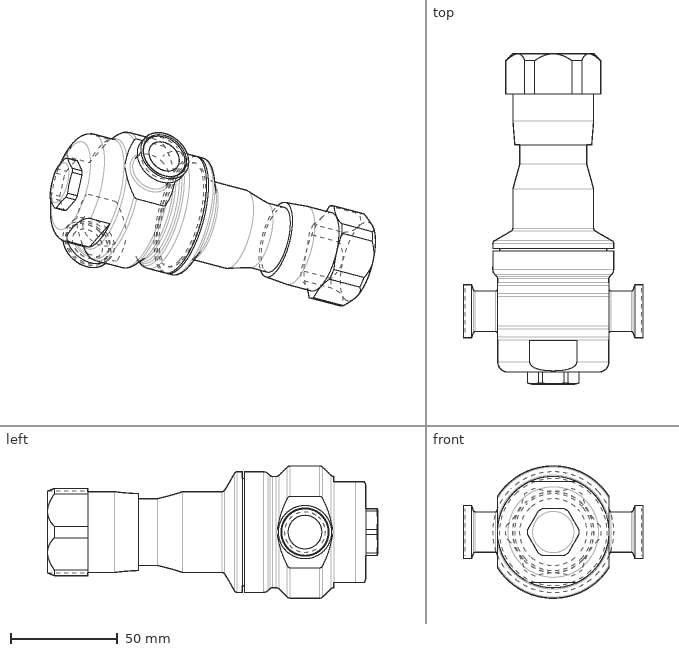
import cadquery as cq
import math


NUT_END = 120.9
NUT_BASE = 101.9
TAPER_START = 89.3
NECK_TOP = 78.1
NECK_BASE = 69.1
BARREL_TOP = 57.4
BONNET_TOP = 38.1
GROOVE_TOP = 29.4
GROOVE_WIDTH = 1.0
FLANGE_BASE = 18.2
BODY_HALF_LENGTH = 7.75
CAP_TOP = -13.6
CAP_END = -28.6
PLUG_END = -34.35

BARREL_R = 19.0
TAPER_R = 18.1
NECK_R = 15.75
FLANGE_R = 28.4
GROOVE_R = 25.2
WAIST_R = 26.15
BODY_R = 31.115
BONNET_ANGLE = 60.0

BONNET_FILLET = 1.5
FLANGE_FILLET = 3.2
FLANGE_WAIST_FILLET = 1.6
BODY_FILLET = 2.0
CAP_FILLET = 4.9

BODY_FLAT_X = 26.2
CAP_FLAT_Z = 23.7

HEX_SIDES = 6

NUT_CORNER_R = 22.35
NUT_END_R = 19.1
NUT_HOLLOW_R = 29.0
NUT_HOLLOW_FLOOR_R = 19.2

PLUG_ACROSS_FLATS = 22.0
PLUG_CORNER_R = 12.1
PLUG_END_R = 9.7
PLUG_CHAMFER_LENGTH = 0.65

PORT_END = 42.2
PORT_TUBE_R = 9.525
FERRULE_R = 12.5
FERRULE_RIM = 3.9
FERRULE_BEVEL_ANGLE = 20.0
FERRULE_FILLET = 0.8
PORT_ROOT_FILLET = 1.0
PORT_ROOT_X = 24.0
RECESS_R = 11.3
RECESS_FLOOR_R = 10.9
RECESS_DEPTH = 0.7
BORE_R = 7.9
BORE_DEPTH = 0.1

SELECT_MARGIN = 0.1


def revolve_about_y(points):
    profile = cq.Workplane("XY").polyline(points).close()
    return profile.revolve(360, (0, 0, 0), (0, 1, 0))


def fillet_ring(solid, y, radius, fillet):
    """Round the circular edge of the given radius, centred on the axis at y."""
    tolerance = 1e-3

    def is_ring(edge):
        if edge.geomType() != "CIRCLE":
            return False
        centre = edge.arcCenter()
        return abs(centre.y - y) < tolerance and abs(edge.radius() - radius) < tolerance

    rings = [edge for edge in solid.edges().vals() if is_ring(edge)]
    return solid.newObject(rings).fillet(fillet)


def make_turned_body():
    bonnet_drop = (FLANGE_R - BARREL_R) / math.tan(math.radians(BONNET_ANGLE))
    bonnet_base = BONNET_TOP - bonnet_drop
    groove_base = GROOVE_TOP - GROOVE_WIDTH
    waist_top = FLANGE_BASE - (FLANGE_R - WAIST_R)
    body_cone = BODY_HALF_LENGTH + BODY_R - WAIST_R

    body = revolve_about_y([
        (0, NUT_BASE),
        (BARREL_R, NUT_BASE),
        (BARREL_R, TAPER_START),
        (TAPER_R, NECK_TOP),
        (NECK_R, NECK_TOP),
        (NECK_R, NECK_BASE),
        (BARREL_R, BARREL_TOP),
        (BARREL_R, BONNET_TOP),
        (FLANGE_R, bonnet_base),
        (FLANGE_R, GROOVE_TOP),
        (GROOVE_R, GROOVE_TOP),
        (GROOVE_R, groove_base),
        (FLANGE_R, groove_base),
        (FLANGE_R, FLANGE_BASE),
        (WAIST_R, waist_top),
        (WAIST_R, body_cone),
        (BODY_R, BODY_HALF_LENGTH),
        (BODY_R, -BODY_HALF_LENGTH),
        (WAIST_R, -body_cone),
        (WAIST_R, CAP_END),
        (0, CAP_END),
    ])
    rounded_rings = [
        (BONNET_TOP, BARREL_R, BONNET_FILLET),
        (bonnet_base, FLANGE_R, BONNET_FILLET),
        (FLANGE_BASE, FLANGE_R, FLANGE_FILLET),
        (waist_top, WAIST_R, FLANGE_WAIST_FILLET),
        (body_cone, WAIST_R, BODY_FILLET),
        (BODY_HALF_LENGTH, BODY_R, BODY_FILLET),
        (-BODY_HALF_LENGTH, BODY_R, BODY_FILLET),
        (-body_cone, WAIST_R, BODY_FILLET),
        (CAP_END, WAIST_R, CAP_FILLET),
    ]
    for y, radius, fillet in rounded_rings:
        body = fillet_ring(body, y, radius, fillet)
    return body


def cut_flats(body):
    block = 2 * BODY_R
    body_length = -2 * CAP_TOP
    cap_length = CAP_TOP - CAP_END
    for side in (1, -1):
        body_cutter = cq.Workplane("XY").box(block, body_length, block)
        body = body.cut(body_cutter.translate((side * (BODY_FLAT_X + block / 2), 0, 0)))
        cap_cutter = cq.Workplane("XY").box(block, cap_length, block)
        cap_middle = (CAP_TOP + CAP_END) / 2
        body = body.cut(cap_cutter.translate((0, cap_middle, side * (CAP_FLAT_Z + block / 2))))
    return body


def make_nut():
    """Chamfered cylinder with hollow grip faces, two of them facing +Z and -Z."""
    chamfer = NUT_CORNER_R - NUT_END_R
    nut = revolve_about_y([
        (0, NUT_BASE),
        (NUT_CORNER_R, NUT_BASE),
        (NUT_CORNER_R, NUT_END - chamfer),
        (NUT_END_R, NUT_END),
        (0, NUT_END),
    ])
    hollow = (
        cq.Workplane("XZ", origin=(0, NUT_END, 0))
        .center(0, NUT_HOLLOW_FLOOR_R + NUT_HOLLOW_R)
        .circle(NUT_HOLLOW_R)
        .extrude(NUT_END - NUT_BASE)
    )
    for index in range(HEX_SIDES):
        nut = nut.cut(hollow.rotate((0, 0, 0), (0, 1, 0), index * 360 / HEX_SIDES))
    return nut


def make_plug():
    """Hexagonal prism with flats facing +Z and -Z."""
    circumscribed_d = PLUG_ACROSS_FLATS / math.cos(math.pi / HEX_SIDES)
    base_plane = cq.Workplane("XZ", origin=(0, CAP_END, 0))
    prism = base_plane.polygon(HEX_SIDES, circumscribed_d).extrude(CAP_END - PLUG_END)
    envelope = revolve_about_y([
        (0, CAP_END),
        (PLUG_CORNER_R, CAP_END),
        (PLUG_CORNER_R, PLUG_END + PLUG_CHAMFER_LENGTH),
        (PLUG_END_R, PLUG_END),
        (0, PLUG_END),
    ])
    return prism.intersect(envelope)


def make_port():
    """Port on the +X side: tube, bevelled clamp ferrule and recessed end face."""
    rim_x = PORT_END - FERRULE_RIM
    bevel = (FERRULE_R - PORT_TUBE_R) * math.tan(math.radians(FERRULE_BEVEL_ANGLE))
    neck_x = rim_x - bevel
    floor_x = PORT_END - RECESS_DEPTH
    bore_x = floor_x - BORE_DEPTH
    profile = cq.Workplane("XY").polyline([
        (PORT_ROOT_X, 0),
        (PORT_ROOT_X, PORT_TUBE_R),
        (neck_x, PORT_TUBE_R),
        (rim_x, FERRULE_R),
        (PORT_END, FERRULE_R),
        (PORT_END, RECESS_R),
        (floor_x, RECESS_FLOOR_R),
        (floor_x, BORE_R),
        (bore_x, BORE_R),
        (bore_x, 0),
    ]).close()
    port = profile.revolve(360, (0, 0, 0), (1, 0, 0))
    neck_ring = cq.selectors.BoxSelector(
        (neck_x - SELECT_MARGIN, -FERRULE_R, -FERRULE_R),
        (neck_x + SELECT_MARGIN, FERRULE_R, FERRULE_R),
    )
    return port.edges(neck_ring).fillet(FERRULE_FILLET)


def add_ports(body):
    port = make_port()
    body = body.union(port).union(port.mirror("YZ"))
    for side in (1, -1):
        root_x = side * BODY_FLAT_X
        reach = PORT_TUBE_R + SELECT_MARGIN
        root_ring = cq.selectors.BoxSelector(
            (root_x - SELECT_MARGIN, -reach, -reach),
            (root_x + SELECT_MARGIN, reach, reach),
            boundingbox=True,
        )
        body = body.edges(root_ring).fillet(PORT_ROOT_FILLET)
    return body


body = add_ports(cut_flats(make_turned_body()))
result = body.union(make_nut()).union(make_plug())